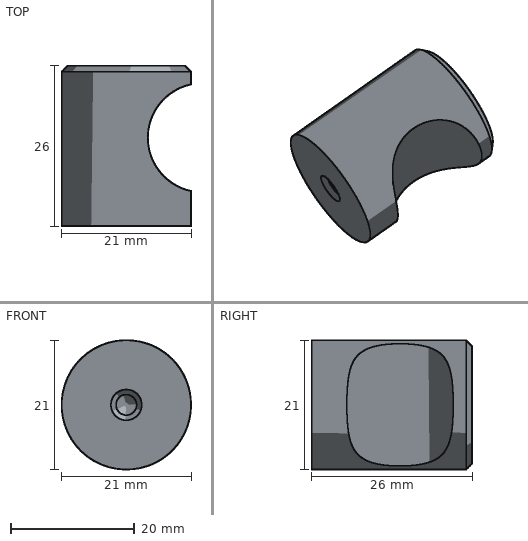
import cadquery as cq
import math

length = 26.0
diameter = 21.0
rim_chamfer = 1.0

grip_radius = 8.81
grip_depth = 7.0
grip_center_y = 14.33

hole_diameter = 3.33
hole_depth = 12.0
mouth_diameter = 5.0
mouth_angle = 90.0
tip_angle = 118.0

body_radius = diameter / 2


def cone_height(large_diameter, small_diameter, included_angle):
    half_angle = math.radians(included_angle / 2)
    return (large_diameter - small_diameter) / 2 / math.tan(half_angle)


def make_body():
    body = cq.Workplane("XZ").circle(body_radius).extrude(-length)
    return body.faces(">Y").chamfer(rim_chamfer)


def make_grip():
    grip_center_x = body_radius - grip_depth + grip_radius
    return (
        cq.Workplane("XY")
        .center(grip_center_x, grip_center_y)
        .circle(grip_radius)
        .extrude(body_radius, both=True)
    )


def make_hole():
    mouth_depth = cone_height(mouth_diameter, hole_diameter, mouth_angle)
    tip_height = cone_height(hole_diameter, 0, tip_angle)
    half_profile = [
        (0, 0),
        (mouth_diameter / 2, 0),
        (hole_diameter / 2, mouth_depth),
        (hole_diameter / 2, hole_depth),
        (0, hole_depth + tip_height),
    ]
    return (
        cq.Workplane("XY")
        .polyline(half_profile)
        .close()
        .revolve(360, (0, 0, 0), (0, 1, 0))
    )


result = make_body().cut(make_grip()).cut(make_hole())